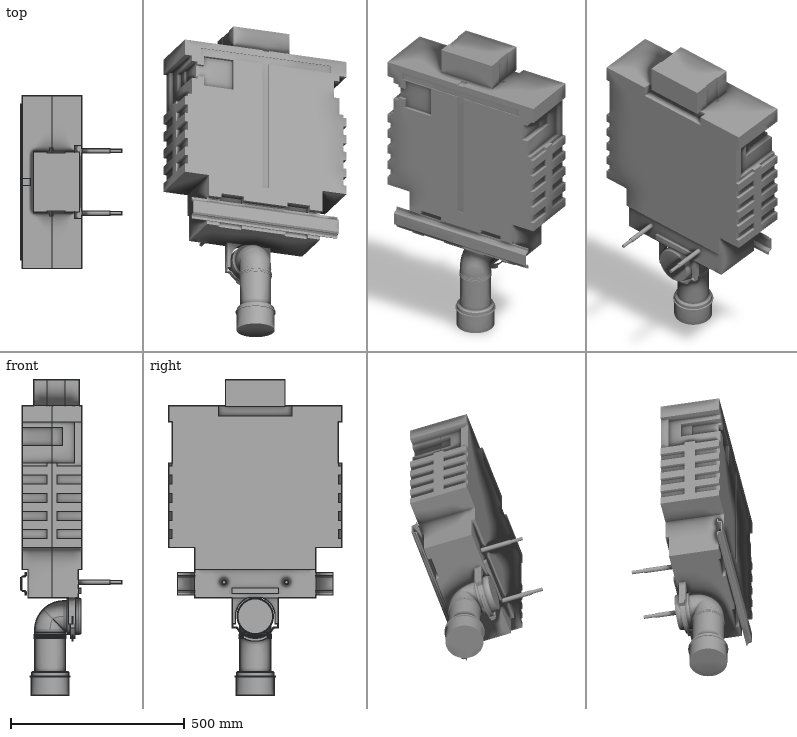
import cadquery as cq
import math

SIDES = (-1, 1)

SHELL_HALF_DEPTH = 86.5
SHELL_HALF_WIDTH = 250
SHELL_TOP = 555.5
SHOULDER_Z = 145.5
NECK_HALF_WIDTH = 175
NECK_TOP = 82
NECK_BACK = -70
NECK_FRONT = 76

WINDOW_BOTTOM = 390
WINDOW_TOP = 508.5
WINDOW_FRONT = 65
WINDOW_FLOOR_Y = 229
RIM_FLOOR_Y = 240
OPENING_BOTTOM = 440
OPENING_TOP = 492
OPENING_FRONT = 29.5
OPENING_BACK_FLOOR_Y = 212
OPENING_FRONT_FLOOR_Y = 218

SLOT_COUNT = 5
SLOT_PITCH = 52.2
SLOT_HEIGHT = 26
SLOT_LOWEST_Z = 172
SLOT_WALL = 15

TEE_DEPTH = 2
TEE_BAR_HALF_WIDTH = 200
TEE_BAR_BOTTOM = 514
TEE_BAR_TOP = 536
TEE_STEM_HALF_WIDTH = 10
TEE_STEM_BOTTOM = 131
PANEL_DEPTH = 10
PANEL_INNER_Y = 100
PANEL_OUTER_Y = 191
PANEL_BOTTOM = 421
PANEL_TOP = 512
CHANNEL_BOTTOM = 448
CHANNEL_TOP = 484
FOOT_GROOVE_INNER_Y = 67
FOOT_GROOVE_OUTER_Y = 137
FOOT_GROOVE_TOP = 94
FOOT_GROOVE_FLOOR_X = -60

TOP_RECESS_DEPTH = 2.5
TOP_TAB_LENGTH = 24
SEAT_HALF_WIDTH = 89.5
SEAT_FRONT = 60.5
SEAT_NOTCH_BACK = -8
SEAT_NOTCH_FRONT = 2.5
SEAT_NOTCH_HALF_WIDTH = 98
FRONT_NOTCH_HALF_WIDTH = 105.5
FRONT_NOTCH_DEPTH = 30

BOX_BACK = -53
BOX_FRONT = 79
BOX_HALF_WIDTH = 86.5
BOX_TOP = 631
BOX_BOTTOM = SHELL_TOP - TOP_RECESS_DEPTH
BOX_GROOVE_BACK = -14.5
BOX_GROOVE_FRONT = 37.5
BOX_GROOVE_DEPTH = 2.5

RAIL_BACK = -90.5
RAIL_FRONT = -74.5
RAIL_THICKNESS = 3
RAIL_LENGTH = 450
RAIL_Z = 41
RAIL_HALF_HEIGHT = 33
RAIL_WEB_HALF_HEIGHT = 22
RAIL_CORNER = 4.5

STUD_Y = 90
STUD_Z = 45.5
SLEEVE_DIAMETER = 13.5
STUD_DIAMETER = 10
SLEEVE_END = 167
STUD_END = 201.5

LEDGE_FRONT = 84
LEDGE_BOTTOM = 12.5
LEDGE_TOP = 28.5

PIPE_DIAMETER = 90
DROP_X = -5.5
OUTLET_Z = -53
BEND_RADIUS = 40
SEAL_DIAMETER = 89.4
SEAL_TOP = -98
SEAL_BOTTOM = -101.5
BEAD_DIAMETER = 93
BEAD_TOP = -106
BEAD_HEIGHT = 2.4
BEAD_COUNT = 3
BEAD_PITCH = 4.2
COLLAR_DIAMETER = 105
COLLAR_BACK = 43
COLLAR_SHOULDER = 77
COLLAR_FRONT = 84
COLLAR_END_DIAMETER = 100.5
SOCKET_TOP = -212
SOCKET_NECK_DIAMETER = 107.6
SOCKET_CHAMFER = 3
SOCKET_FLANGE_DIAMETER = 116
SOCKET_FLANGE_TOP = -225
SOCKET_FLANGE_THICKNESS = 3
SOCKET_DIAMETER = 110
SOCKET_BOTTOM = -282

BRACKET_BACK = 48
BRACKET_FRONT = 68
BRACKET_HALF_WIDTH = 67
BRACKET_BOTTOM = -75
BRACKET_ARCH_RADIUS = 57
STRAP_BACK = 53
STRAP_FRONT = 67
STRAP_RADIUS = 64
STRAP_THICKNESS = 3
EAR_BOTTOM = -87
RIB_BACK = 57
RIB_FRONT = 60
RIB_RADIUS = 72
RIB_HALF_WIDTH = 35
RIB_GROOVE_TOP = -54
RIB_GROOVE_DEPTH = 2


def block(x0, x1, y0, y1, z0, z1):
    """Box between two opposite corners, the coordinates in any order."""
    return cq.Workplane("XY").box(
        abs(x1 - x0), abs(y1 - y0), abs(z1 - z0)
    ).translate(((x0 + x1) / 2, (y0 + y1) / 2, (z0 + z1) / 2))


def cylinder_x(diameter, x0, x1, y, z):
    return cq.Workplane("YZ", origin=(x0, y, z)).circle(diameter / 2).extrude(x1 - x0)


def cylinder_z(diameter, z0, z1):
    """Cylinder on the axis of the vertical pipe leg."""
    return cq.Workplane("XY", origin=(DROP_X, 0, z0)).circle(diameter / 2).extrude(z1 - z0)


def shell_blank(outer_x, neck_x):
    """Stepped block from the joint plane to one face of the cistern."""
    wide = block(0, outer_x, -SHELL_HALF_WIDTH, SHELL_HALF_WIDTH, SHOULDER_Z, SHELL_TOP)
    waist = block(0, outer_x, -NECK_HALF_WIDTH, NECK_HALF_WIDTH, NECK_TOP, SHOULDER_Z)
    neck = block(0, neck_x, -NECK_HALF_WIDTH, NECK_HALF_WIDTH, 0, NECK_TOP)
    return wide.union(waist).union(neck)


def cut_sides(shell, x0, x1, floor_y, z0, z1):
    """Cut the same recess into both side faces."""
    for side in SIDES:
        shell = shell.cut(block(x0, x1, side * floor_y, side * SHELL_HALF_WIDTH, z0, z1))
    return shell


def cut_grip_slots(shell, direction):
    for i in range(SLOT_COUNT):
        bottom = SLOT_LOWEST_Z + i * SLOT_PITCH
        shell = cut_sides(
            shell, direction * SLOT_WALL, direction * SHELL_HALF_DEPTH, RIM_FLOOR_Y,
            bottom, min(bottom + SLOT_HEIGHT, WINDOW_BOTTOM),
        )
    return shell


def cut_box_seat(shell):
    """Shallow seat for the protection box, with a small notch at the joint on each side."""
    floor = SHELL_TOP - TOP_RECESS_DEPTH
    shell = shell.cut(
        block(BOX_BACK, SEAT_FRONT, -SEAT_HALF_WIDTH, SEAT_HALF_WIDTH, floor, SHELL_TOP))
    shell = shell.cut(
        block(SEAT_FRONT, BOX_FRONT, -BOX_HALF_WIDTH, BOX_HALF_WIDTH, floor, SHELL_TOP))
    return shell.cut(
        block(SEAT_NOTCH_BACK, SEAT_NOTCH_FRONT, -SEAT_NOTCH_HALF_WIDTH,
              SEAT_NOTCH_HALF_WIDTH, floor, SHELL_TOP))


def cut_back_face(shell):
    back = -SHELL_HALF_DEPTH
    tee_floor = back + TEE_DEPTH
    shell = shell.cut(
        block(back, tee_floor, -TEE_BAR_HALF_WIDTH, TEE_BAR_HALF_WIDTH,
              TEE_BAR_BOTTOM, TEE_BAR_TOP))
    shell = shell.cut(
        block(back, tee_floor, -TEE_STEM_HALF_WIDTH, TEE_STEM_HALF_WIDTH,
              TEE_STEM_BOTTOM, TEE_BAR_BOTTOM))
    shell = shell.cut(
        block(back, back + TOP_TAB_LENGTH, -TEE_STEM_HALF_WIDTH, TEE_STEM_HALF_WIDTH,
              SHELL_TOP - TOP_RECESS_DEPTH, SHELL_TOP))
    panel_floor = back + PANEL_DEPTH
    shell = shell.cut(
        block(back, panel_floor, PANEL_INNER_Y, PANEL_OUTER_Y, PANEL_BOTTOM, PANEL_TOP))
    shell = shell.cut(
        block(back, panel_floor, PANEL_OUTER_Y, OPENING_BACK_FLOOR_Y,
              CHANNEL_BOTTOM, CHANNEL_TOP))
    for side in SIDES:
        shell = shell.cut(
            block(back, FOOT_GROOVE_FLOOR_X, side * FOOT_GROOVE_INNER_Y,
                  side * FOOT_GROOVE_OUTER_Y, 0, FOOT_GROOVE_TOP))
    return shell


def make_back_shell():
    back = -SHELL_HALF_DEPTH
    shell = shell_blank(back, NECK_BACK)
    shell = cut_sides(shell, back, 0, WINDOW_FLOOR_Y, WINDOW_BOTTOM, WINDOW_TOP)
    shell = cut_sides(shell, back, 0, OPENING_BACK_FLOOR_Y, OPENING_BOTTOM, OPENING_TOP)
    shell = cut_grip_slots(shell, -1)
    shell = cut_box_seat(shell)
    return cut_back_face(shell)


def make_bracket():
    """Two legs beside the pipe collar, joined by a strap under it."""
    legs = block(BRACKET_BACK, BRACKET_FRONT, -BRACKET_HALF_WIDTH, BRACKET_HALF_WIDTH,
                 BRACKET_BOTTOM, 0)
    legs = legs.cut(
        cylinder_x(2 * BRACKET_ARCH_RADIUS, BRACKET_BACK, BRACKET_FRONT, 0, OUTLET_Z))
    legs = legs.cut(
        block(BRACKET_BACK, BRACKET_FRONT, -BRACKET_ARCH_RADIUS, BRACKET_ARCH_RADIUS,
              BRACKET_BOTTOM, OUTLET_Z))
    for side in SIDES:
        legs = legs.cut(
            block(RIB_BACK, RIB_FRONT, side * (BRACKET_HALF_WIDTH - RIB_GROOVE_DEPTH),
                  side * BRACKET_HALF_WIDTH, BRACKET_BOTTOM, RIB_GROOVE_TOP))

    strap_inside = cylinder_x(
        2 * (STRAP_RADIUS - STRAP_THICKNESS), STRAP_BACK, STRAP_FRONT, 0, OUTLET_Z)
    strap = cylinder_x(2 * STRAP_RADIUS, STRAP_BACK, STRAP_FRONT, 0, OUTLET_Z)
    rib = cylinder_x(2 * RIB_RADIUS, RIB_BACK, RIB_FRONT, 0, OUTLET_Z).intersect(
        block(RIB_BACK, RIB_FRONT, -RIB_HALF_WIDTH, RIB_HALF_WIDTH,
              OUTLET_Z - RIB_RADIUS, EAR_BOTTOM))
    ear_top = EAR_BOTTOM + STRAP_THICKNESS
    strap = strap.intersect(
        block(STRAP_BACK, STRAP_FRONT, -STRAP_RADIUS, STRAP_RADIUS,
              OUTLET_Z - STRAP_RADIUS, ear_top))
    strap = strap.union(rib)
    strap = strap.union(
        block(STRAP_BACK, STRAP_FRONT, -BRACKET_HALF_WIDTH, BRACKET_HALF_WIDTH,
              EAR_BOTTOM, ear_top))
    strap = strap.cut(strap_inside)
    for side in SIDES:
        strap = strap.union(
            block(STRAP_BACK, STRAP_FRONT, side * (BRACKET_HALF_WIDTH - STRAP_THICKNESS),
                  side * BRACKET_HALF_WIDTH, EAR_BOTTOM, BRACKET_BOTTOM))
    return legs.union(strap)


def make_front_shell():
    front = SHELL_HALF_DEPTH
    shell = shell_blank(front, NECK_FRONT)
    shell = cut_sides(shell, 0, WINDOW_FRONT, WINDOW_FLOOR_Y, WINDOW_BOTTOM, WINDOW_TOP)
    shell = cut_sides(shell, WINDOW_FRONT, front, RIM_FLOOR_Y, WINDOW_BOTTOM, WINDOW_TOP)
    shell = cut_sides(
        shell, 0, OPENING_FRONT, OPENING_FRONT_FLOOR_Y, OPENING_BOTTOM, OPENING_TOP)
    shell = cut_grip_slots(shell, 1)
    shell = cut_box_seat(shell)
    shell = shell.cut(
        block(WINDOW_FRONT, front, -FRONT_NOTCH_HALF_WIDTH, FRONT_NOTCH_HALF_WIDTH,
              SHELL_TOP - FRONT_NOTCH_DEPTH, SHELL_TOP))
    shell = shell.union(
        block(NECK_FRONT, LEDGE_FRONT, -BRACKET_HALF_WIDTH, BRACKET_HALF_WIDTH,
              LEDGE_BOTTOM, LEDGE_TOP))
    return shell.union(make_bracket())


def make_protection_box():
    box = block(BOX_BACK, BOX_FRONT, -BOX_HALF_WIDTH, BOX_HALF_WIDTH, BOX_BOTTOM, BOX_TOP)
    for side in SIDES:
        box = box.cut(
            block(BOX_GROOVE_BACK, BOX_GROOVE_FRONT,
                  side * (BOX_HALF_WIDTH - BOX_GROOVE_DEPTH), side * BOX_HALF_WIDTH,
                  BOX_BOTTOM, BOX_TOP))
    return box


def make_rail():
    """Top-hat profile with bevelled corners, extruded along Y."""
    flange_back = RAIL_FRONT - RAIL_THICKNESS
    web_front = RAIL_BACK + RAIL_THICKNESS
    leg_inside = RAIL_WEB_HALF_HEIGHT - RAIL_THICKNESS
    upper = [
        (RAIL_BACK, RAIL_WEB_HALF_HEIGHT - RAIL_CORNER),
        (RAIL_BACK + RAIL_CORNER, RAIL_WEB_HALF_HEIGHT),
        (flange_back - RAIL_CORNER, RAIL_WEB_HALF_HEIGHT),
        (flange_back, RAIL_WEB_HALF_HEIGHT + RAIL_CORNER),
        (flange_back, RAIL_HALF_HEIGHT),
        (RAIL_FRONT, RAIL_HALF_HEIGHT),
        (RAIL_FRONT, leg_inside + RAIL_CORNER),
        (RAIL_FRONT - RAIL_CORNER, leg_inside),
        (web_front, leg_inside),
    ]
    lower = [(x, -z) for x, z in reversed(upper)]
    return (
        cq.Workplane("XZ", origin=(0, RAIL_LENGTH / 2, RAIL_Z))
        .polyline(upper + lower)
        .close()
        .extrude(RAIL_LENGTH)
    )


def make_bend():
    """Quarter bend, rounded outside and with a sharp mitre inside: four mirrored pieces."""
    pipe_radius = PIPE_DIAMETER / 2
    arc_middle = pipe_radius * math.sqrt(0.5)
    bend_x = DROP_X + BEND_RADIUS
    bend_z = OUTLET_Z - BEND_RADIUS
    rounded = (
        cq.Workplane("XY", origin=(bend_x, 0, bend_z))
        .lineTo(-BEND_RADIUS - pipe_radius, 0)
        .threePointArc((-BEND_RADIUS - arc_middle, arc_middle), (-BEND_RADIUS, pipe_radius))
        .lineTo(0, pipe_radius)
        .close()
        .revolve(90, (0, 0, 0), (0, 1, 0))
    )
    below_mitre = (
        cq.Workplane("XZ", origin=(DROP_X, pipe_radius, OUTLET_Z))
        .polyline([
            (-pipe_radius, pipe_radius),
            (pipe_radius, -pipe_radius),
            (-pipe_radius, -pipe_radius),
        ])
        .close()
        .extrude(PIPE_DIAMETER)
    )
    piece = cylinder_z(PIPE_DIAMETER, bend_z, OUTLET_Z + pipe_radius)
    piece = piece.intersect(below_mitre).intersect(rounded)
    lower_half = piece.union(piece.mirror("XZ"), clean=False)
    upper_half = lower_half.mirror(cq.Vector(1, 0, 1), (DROP_X, 0, OUTLET_Z))
    return lower_half.union(upper_half, clean=False)


def make_drop_pipe():
    """Vertical leg turned about its axis: seal groove, beads and outlet socket."""
    pipe_radius = PIPE_DIAMETER / 2
    socket_neck_radius = SOCKET_NECK_DIAMETER / 2
    flange_bottom = SOCKET_FLANGE_TOP - SOCKET_FLANGE_THICKNESS
    steps = [
        (pipe_radius, OUTLET_Z - BEND_RADIUS, SEAL_TOP),
        (SEAL_DIAMETER / 2, SEAL_TOP, SEAL_BOTTOM),
    ]
    bottom = SEAL_BOTTOM
    for i in range(BEAD_COUNT):
        bead_top = BEAD_TOP - i * BEAD_PITCH
        bead_bottom = bead_top - BEAD_HEIGHT
        steps.append((pipe_radius, bottom, bead_top))
        steps.append((BEAD_DIAMETER / 2, bead_top, bead_bottom))
        bottom = bead_bottom
    steps.append((pipe_radius, bottom, SOCKET_TOP))

    profile = [(0, OUTLET_Z - BEND_RADIUS)]
    for radius, top, bottom in steps:
        profile += [(radius, top), (radius, bottom)]
    profile += [
        (socket_neck_radius - SOCKET_CHAMFER, SOCKET_TOP),
        (socket_neck_radius, SOCKET_TOP - SOCKET_CHAMFER),
        (socket_neck_radius, SOCKET_FLANGE_TOP),
        (SOCKET_FLANGE_DIAMETER / 2, SOCKET_FLANGE_TOP),
        (SOCKET_FLANGE_DIAMETER / 2, flange_bottom),
        (SOCKET_DIAMETER / 2, flange_bottom),
        (SOCKET_DIAMETER / 2, SOCKET_BOTTOM),
        (0, SOCKET_BOTTOM),
    ]
    return (
        cq.Workplane("XZ", origin=(DROP_X, 0, 0))
        .polyline(profile)
        .close()
        .revolve(360, (0, 0, 0), (0, 1, 0))
    )


def make_outlet_pipe():
    """Horizontal leg with a collar that tapers at its end."""
    pipe_radius = PIPE_DIAMETER / 2
    collar_radius = COLLAR_DIAMETER / 2
    bend_x = DROP_X + BEND_RADIUS
    return (
        cq.Workplane("XZ", origin=(0, 0, OUTLET_Z))
        .polyline([
            (bend_x, 0),
            (bend_x, pipe_radius),
            (COLLAR_BACK, pipe_radius),
            (COLLAR_BACK, collar_radius),
            (COLLAR_SHOULDER, collar_radius),
            (COLLAR_FRONT, COLLAR_END_DIAMETER / 2),
            (COLLAR_FRONT, 0),
        ])
        .close()
        .revolve(360, (0, 0, 0), (1, 0, 0))
    )


def make_elbow():
    legs = make_drop_pipe().union(make_outlet_pipe(), clean=False)
    return legs.union(make_bend(), clean=False)


def make_stud(y):
    sleeve = cylinder_x(SLEEVE_DIAMETER, NECK_FRONT, SLEEVE_END, y, STUD_Z)
    return sleeve.union(cylinder_x(STUD_DIAMETER, SLEEVE_END, STUD_END, y, STUD_Z))


back_shell = make_back_shell()
front_shell = make_front_shell()
protection_box = make_protection_box()
rail = make_rail()
elbow = make_elbow()
studs = [make_stud(side * STUD_Y) for side in SIDES]

result = cq.Compound.makeCompound([
    back_shell.solids().val(),
    front_shell.solids().val(),
    protection_box.solids().val(),
    rail.solids().val(),
    elbow.solids().val(),
    *[stud.solids().val() for stud in studs],
])